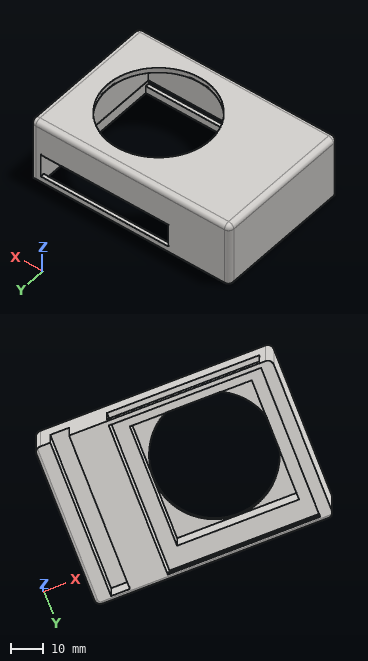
import cadquery as cq

length = 78.0
width = 53.0
height = 25.0
edge_radius = 2.0
base_edge_radius = 1.0

opening_diameter = 40.0
opening_x = 49.0
opening_y = width / 2
roof = 2.0

lower_pocket_side = 50.0
lower_pocket_depth = 12.0
upper_pocket_side = opening_diameter

window_sill = 3.0

channel_x = 5.4
channel_width = 6.2
channel_height = 11.5

thin_wall = (width - lower_pocket_side) / 2


def plain_block():
    """Sharp-edged block with one corner at the origin."""
    return cq.Workplane("XY").box(length, width, height, centered=False)


def outer_block():
    """Block rounded on its corners and roof, and smaller on its left and back base edges."""
    rounded_sides_and_roof = plain_block().edges("|Z or >Z").fillet(edge_radius)
    rounded_base = plain_block().edges("|Z and <X and >Y").fillet(edge_radius)
    base_edges = rounded_base.faces("<Z").edges("not (>X or <Y)")
    rounded_base = base_edges.fillet(base_edge_radius)
    return rounded_sides_and_roof.intersect(rounded_base)


def centred_cut(size_x, size_y, bottom, top):
    """Box centred on the roof opening, between two heights."""
    return (
        cq.Workplane("XY", origin=(opening_x, opening_y, bottom))
        .rect(size_x, size_y)
        .extrude(top - bottom)
    )


lower_pocket = centred_cut(lower_pocket_side, lower_pocket_side, 0, lower_pocket_depth)
upper_pocket = centred_cut(upper_pocket_side, upper_pocket_side, 0, height - roof)
windows = centred_cut(lower_pocket_side, width, window_sill, lower_pocket_depth)

opening = (
    cq.Workplane("XY", origin=(opening_x, opening_y, 0))
    .circle(opening_diameter / 2)
    .extrude(height)
)

channel = (
    cq.Workplane("XY")
    .box(channel_width, width - thin_wall, channel_height, centered=False)
    .translate((channel_x, 0, 0))
)

result = outer_block()
for cut in (lower_pocket, upper_pocket, windows, opening, channel):
    result = result.cut(cut)